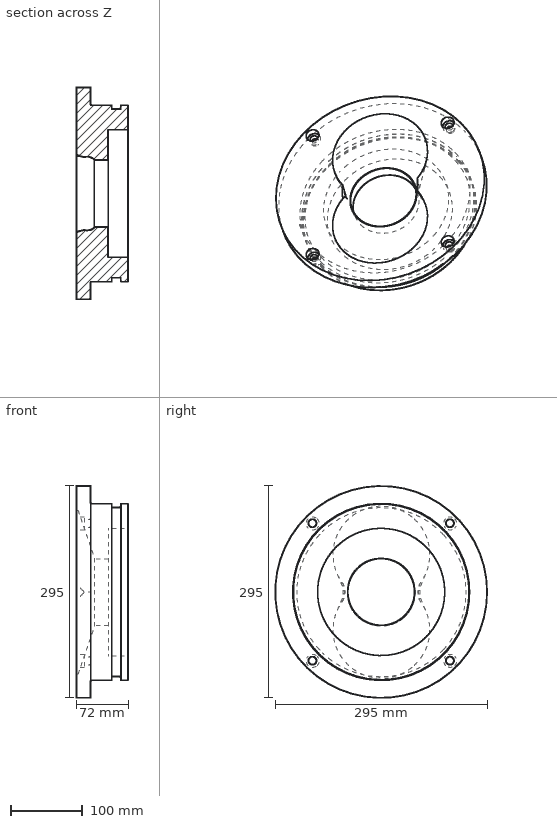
import cadquery as cq

flange_radius = 147.5
flange_thickness = 19.8
total_length = 72.0
spigot_radius = 123.0
spigot_fillet = 1.5
end_chamfer = 1.0

groove_start = 49.3
groove_end = 61.5
groove_radius = 117.7
groove_round = 1.0
rim_chamfer = 1.0

bore_radius = 46.3
throat_radius = 47.2
throat_depth = 25.0
lobe_radius = 67.3
lobe_offset = 52.5
waist_radius = 53.7

recess_start = 44.2
recess_radius = 88.5

bolt_spacing = 191.2
bolt_hole_diameter = 11.0
counterbore_diameter = 18.0
counterbore_depth = 11.0


def cylinder(radius, start, end):
    """Solid cylinder on the X axis between two X positions."""
    return cq.Workplane("YZ").workplane(offset=start).circle(radius).extrude(end - start)


def make_body():
    """Flange and spigot with a fillet at their junction and a chamfered end."""
    flange = cylinder(flange_radius, 0, flange_thickness)
    spigot = cylinder(spigot_radius, 0, total_length).faces(">X").chamfer(end_chamfer)
    body = flange.union(spigot)
    margin = 1.5
    reach = spigot_radius + margin
    junction = cq.selectors.BoxSelector(
        (flange_thickness - margin, -reach, -reach),
        (flange_thickness + margin, reach, reach),
        boundingbox=True,
    )
    return body.edges(junction).fillet(spigot_fillet)


def make_lobe(side):
    """Skewed cone from an off-centre circle on the flange face to the throat."""
    plane = cq.Plane(origin=(0, 0, side * lobe_offset), xDir=(0, 0, -side), normal=(1, 0, 0))
    return (
        cq.Workplane(plane)
        .circle(lobe_radius)
        .workplane(offset=throat_depth)
        .center(lobe_offset, 0)
        .circle(throat_radius)
        .loft(ruled=True)
    )


def make_waist():
    """Centred cone that trims the two cusps between the lobes."""
    cone = cq.Solid.makeCone(
        waist_radius, bore_radius, throat_depth, pnt=cq.Vector(0, 0, 0), dir=cq.Vector(1, 0, 0)
    )
    return cq.Workplane(obj=cone)


def make_groove():
    """Ring that cuts the seal groove, with rounded floor corners and a bevelled +X rim."""
    return (
        cq.Workplane("XY")
        .moveTo(groove_start, flange_radius)
        .lineTo(groove_start, groove_radius + groove_round)
        .radiusArc((groove_start + groove_round, groove_radius), -groove_round)
        .lineTo(groove_end - groove_round, groove_radius)
        .radiusArc((groove_end, groove_radius + groove_round), -groove_round)
        .lineTo(groove_end, spigot_radius - rim_chamfer)
        .lineTo(groove_end + rim_chamfer, spigot_radius)
        .lineTo(groove_end + rim_chamfer, flange_radius)
        .close()
        .revolve(360, (0, 0, 0), (1, 0, 0))
    )


def drill_bolt_holes(body):
    """Counterbored holes sunk from the flange face."""
    return (
        body.faces("<X")
        .workplane(origin=(0, 0, 0))
        .rect(bolt_spacing, bolt_spacing, forConstruction=True)
        .vertices()
        .cboreHole(bolt_hole_diameter, counterbore_diameter, counterbore_depth)
    )


result = drill_bolt_holes(make_body().cut(make_groove()))
for side in (1, -1):
    result = result.cut(make_lobe(side))
result = result.cut(cylinder(bore_radius, 0, total_length))
result = result.cut(make_waist())
result = result.cut(cylinder(recess_radius, recess_start, total_length))